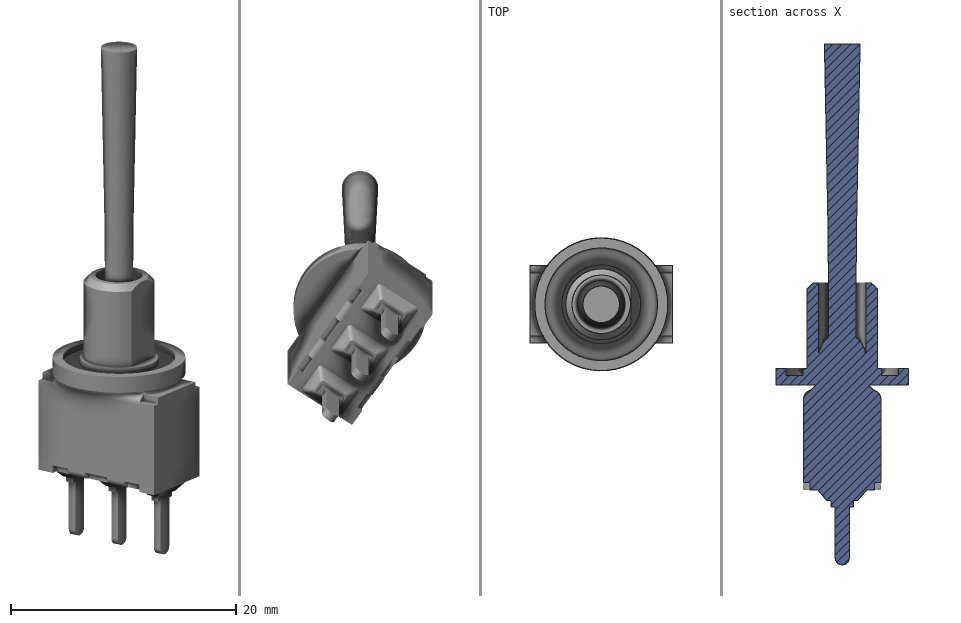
import cadquery as cq
import math

TOTAL_HEIGHT = 46.3
CASE_BOTTOM = 6.6
CASE_TOP = 15.55
WASHER_BOTTOM = 15.95
WASHER_TOP = 17.45
BUSHING_TOP = 25.05

CASE_LENGTH = 12.7
CASE_WIDTH = 6.9
STEP_WIDTH = 0.65
STEP_DEPTH = 0.6
COVER_LENGTH = 9.55
COVER_BOTTOM = 7.3
COVER_BEND_RADIUS = 0.85
COVER_THICKNESS = 0.55
CRIMP_LENGTH = 1.9
CRIMP_X = 2.152

PAD_DIAMETER = 11.1
PAD_WIDTH = 5.55
PAD_OVERLAP = 0.25

WASHER_DIAMETER = 11.8
RECESS_DIAMETER = 10.0
COLLAR_DIAMETER = 7.0
RECESS_DEPTH = 0.6

BUSHING_DIAMETER = 6.3
BUSHING_FLAT_X = 2.65
BUSHING_CHAMFER = 0.55
BORE_DIAMETER = 4.2
BALL_CENTER_Z = 18.5

SHANK_DIAMETER = 2.45
GRIP_BOTTOM = 29.95
GRIP_BOTTOM_DIAMETER = 2.6
GRIP_TOP_DIAMETER = 3.25

TERMINAL_PITCH = 4.68
PIN_THICKNESS = 0.75
PIN_WIDTH = 1.3
SHOULDER_WIDTH = 2.1
SHOULDER_BOTTOM = 5.15
SEAL_BOTTOM = 5.7
SEAL_LENGTH = 1.4
SEAL_WIDTH = 2.75
SEAL_EDGE_RADIUS = 0.35
SEAL_FLARE = 0.8


def block(length, width, bottom, top):
    """Box centred on the Z axis between two heights."""
    return cq.Workplane("XY").workplane(offset=bottom).rect(length, width).extrude(top - bottom)


def disc(diameter, bottom, top):
    """Cylinder on the Z axis between two heights."""
    return cq.Workplane("XY").workplane(offset=bottom).circle(diameter / 2).extrude(top - bottom)


def make_case():
    """Case with stepped top edges, narrowed in the middle to take the cover."""
    step_z = CASE_TOP - STEP_DEPTH
    lower = block(CASE_LENGTH, CASE_WIDTH, CASE_BOTTOM, step_z)
    upper = block(CASE_LENGTH, CASE_WIDTH - 2 * STEP_WIDTH, step_z, CASE_TOP)
    seat = block(COVER_LENGTH, CASE_WIDTH, CASE_BOTTOM, CASE_TOP)
    core = block(COVER_LENGTH, CASE_WIDTH - 2 * COVER_THICKNESS, CASE_BOTTOM, CASE_TOP)
    return lower.union(upper, clean=False).cut(seat, clean=False).union(core, clean=False)


def make_cover():
    """Cover bent over the case, crimped under it by two rounded tabs on each side."""
    cover = block(COVER_LENGTH, CASE_WIDTH, COVER_BOTTOM, CASE_TOP)
    cover = cover.faces(">Z").edges("|X").fillet(COVER_BEND_RADIUS)
    for x in (-CRIMP_X, CRIMP_X):
        crimp = block(CRIMP_LENGTH, CASE_WIDTH, CASE_BOTTOM, COVER_BOTTOM)
        crimp = crimp.faces("<Z").edges("|X").fillet(COVER_THICKNESS)
        cover = cover.union(crimp.translate((x, 0, 0)))
    return cover


def make_pad():
    """Bevelled disc with two flats between the case and the washer."""
    height = WASHER_BOTTOM - CASE_TOP
    pad_bottom = CASE_TOP - PAD_OVERLAP
    pad = disc(PAD_DIAMETER, pad_bottom, WASHER_BOTTOM)
    pad = pad.intersect(block(PAD_DIAMETER, PAD_WIDTH, pad_bottom, WASHER_BOTTOM))
    return pad.faces(">Z").edges().chamfer(height)


def make_washer():
    """Washer with a ring-shaped recess in its top face."""
    recess_floor = WASHER_TOP - RECESS_DEPTH
    recess = disc(RECESS_DIAMETER, recess_floor, WASHER_TOP)
    recess = recess.cut(disc(COLLAR_DIAMETER, recess_floor, WASHER_TOP))
    return disc(WASHER_DIAMETER, WASHER_BOTTOM, WASHER_TOP).cut(recess)


def make_bushing():
    """Chamfered bushing with a flat on its +X side and a central bore."""
    bushing = disc(BUSHING_DIAMETER, WASHER_TOP, BUSHING_TOP)
    bushing = bushing.faces(">Z").edges().chamfer(BUSHING_CHAMFER)
    flat_size = BUSHING_DIAMETER
    flat = block(flat_size, flat_size, WASHER_TOP, BUSHING_TOP)
    bushing = bushing.cut(flat.translate((BUSHING_FLAT_X + flat_size / 2, 0, 0)))
    return bushing.cut(disc(BORE_DIAMETER, WASHER_TOP, BUSHING_TOP))


def make_lever():
    """Lever turned about Z, with a half ball closing the bottom of the bore."""
    ball_radius = BORE_DIAMETER / 2
    shank_radius = SHANK_DIAMETER / 2
    shank_bottom = BALL_CENTER_Z + math.sqrt(ball_radius**2 - shank_radius**2)
    arc_middle = ball_radius * math.sqrt(0.5)
    return (
        cq.Workplane("XZ")
        .moveTo(0, WASHER_TOP)
        .lineTo(ball_radius, WASHER_TOP)
        .lineTo(ball_radius, BALL_CENTER_Z)
        .threePointArc((arc_middle, BALL_CENTER_Z + arc_middle), (shank_radius, shank_bottom))
        .lineTo(GRIP_BOTTOM_DIAMETER / 2, GRIP_BOTTOM)
        .lineTo(GRIP_TOP_DIAMETER / 2, TOTAL_HEIGHT)
        .lineTo(0, TOTAL_HEIGHT)
        .close()
        .revolve(360, (0, 0, 0), (0, 1, 0))
    )


def make_terminal():
    """Flat pin with a rounded tip and a shoulder, under a seal that flares up to the case."""
    tip_radius = PIN_WIDTH / 2
    pin = (
        cq.Workplane("YZ")
        .moveTo(-tip_radius, SEAL_BOTTOM)
        .lineTo(-tip_radius, tip_radius)
        .threePointArc((0, 0), (tip_radius, tip_radius))
        .lineTo(tip_radius, SEAL_BOTTOM)
        .close()
        .extrude(PIN_THICKNESS / 2, both=True)
    )
    shoulder = block(PIN_THICKNESS, SHOULDER_WIDTH, SHOULDER_BOTTOM, SEAL_BOTTOM)
    seal = (
        cq.Workplane("XY")
        .workplane(offset=SEAL_BOTTOM)
        .rect(SEAL_LENGTH, SEAL_WIDTH)
        .workplane(offset=CASE_BOTTOM - SEAL_BOTTOM)
        .rect(SEAL_LENGTH + 2 * SEAL_FLARE, SEAL_WIDTH + 2 * SEAL_FLARE)
        .loft(ruled=True)
    )
    seal = seal.edges("not #Z").fillet(SEAL_EDGE_RADIUS)
    return pin.union(shoulder).union(seal)


result = make_case().union(make_cover(), clean=False)
for section in (make_pad(), make_washer(), make_bushing(), make_lever()):
    result = result.union(section, clean=False)
for x in (-TERMINAL_PITCH, 0, TERMINAL_PITCH):
    result = result.union(make_terminal().translate((x, 0, 0)), clean=False)